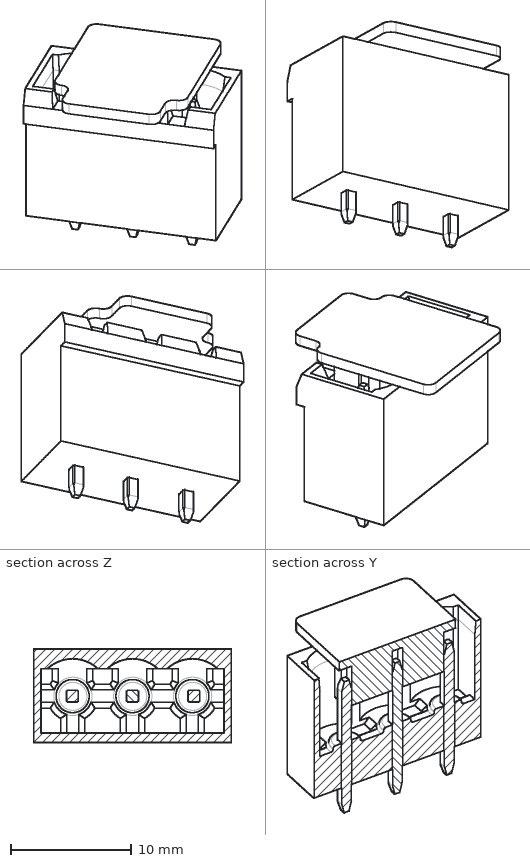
import cadquery as cq
import math

POLE_PITCH = 4.97
POLES = [-POLE_PITCH, 0, POLE_PITCH]

HOUSING_WIDTH = 16.4
HOUSING_HEIGHT = 12.04
BACK_Y = 3.92
FRONT_Y = -3.85
LIP_FRONT_Y = -4.61
LIP_HEIGHT = 3.05
LIP_CHAMFER_DEPTH = 0.51
LIP_CHAMFER_HEIGHT = 1.33

CAVITY_WIDTH = 15.19
CAVITY_BACK_Y = 2.26
CAVITY_FRONT_Y = -3.05
MOUTH_DEPTH = LIP_CHAMFER_HEIGHT
MOUTH_SIDE_FLARE = 0.1
MOUTH_BACK_FLARE = 0.18
MOUTH_FRONT_FLARE = 0.5
SCALLOP_RADIUS = 3.08
SCALLOP_FLARE = 0.21
SHELF_Z = 4.1
POCKET_DEPTH = 0.5
FLOOR_Z = SHELF_Z - POCKET_DEPTH

NOTCH_TOP_WIDTH = 1.8
NOTCH_FLOOR_WIDTH = 1.41

RIB_HALF_WIDTH = 0.51
BACK_RIB_HALF_WIDTH = 1.18
RIB_FLANK = POCKET_DEPTH
CONE_TOP_RADIUS = 1.6
BOSS_RADIUS = 1.38
BOSS_FILLET = 0.21
BOSS_HEIGHT = 0.5

LEFT_PIN_X = -4.99
RIGHT_PIN_X = 5.1
PIN_POSITIONS = [LEFT_PIN_X, 0, RIGHT_PIN_X]
PIN_SIZE = 1.0
PIN_CORNER_CHAMFER = 0.11
PIN_TOP_Z = 10.77
PIN_BOTTOM_Z = -2.6
PIN_TAPER_LENGTH = 0.98
PIN_TIP_SIZE = 0.51

PLATE_THICKNESS = 0.93
PLATE_WIDTH = 11.43
PLATE_BACK_Y = 7.0
PLATE_SHOULDER_Y = -4.46
TAB_FRONT_Y = -7.5
PLATE_CORNER_RADIUS = 0.75
TAB_WIDTH = PLATE_WIDTH - 4 * PLATE_CORNER_RADIUS
GRIP_WIDTH = 10.04
GRIP_BACK_Y = 1.54
GRIP_FRONT_Y = -2.87
GRIP_BOTTOM_Z = 8.04


def box(x_min, x_max, y_min, y_max, z_min, z_max):
    """Axis-aligned block between the given limits."""
    size = (x_max - x_min, y_max - y_min, z_max - z_min)
    return cq.Workplane("XY").box(*size, centered=False).translate((x_min, y_min, z_min))


def cone(x, bottom_radius, top_radius, bottom_z, height):
    """Upright cone frustum centred on a pole."""
    return cq.Workplane(cq.Solid.makeCone(bottom_radius, top_radius, height, cq.Vector(x, 0, bottom_z)))


def housing_block():
    """Outer block with the chamfered lip along its front upper edge."""
    lip_bottom_z = HOUSING_HEIGHT - LIP_HEIGHT
    profile = [
        (BACK_Y, 0),
        (FRONT_Y, 0),
        (FRONT_Y, lip_bottom_z),
        (LIP_FRONT_Y, lip_bottom_z),
        (LIP_FRONT_Y, HOUSING_HEIGHT - LIP_CHAMFER_HEIGHT),
        (LIP_FRONT_Y + LIP_CHAMFER_DEPTH, HOUSING_HEIGHT),
        (BACK_Y, HOUSING_HEIGHT),
    ]
    return cq.Workplane("YZ").polyline(profile).close().extrude(HOUSING_WIDTH / 2, both=True)


def cavity_mouth():
    """Rectangular opening that flares towards the top of the housing."""
    half = CAVITY_WIDTH / 2
    top_half = half + MOUTH_SIDE_FLARE
    bottom = [(-half, CAVITY_FRONT_Y), (half, CAVITY_FRONT_Y), (half, CAVITY_BACK_Y), (-half, CAVITY_BACK_Y)]
    top_front_y = CAVITY_FRONT_Y - MOUTH_FRONT_FLARE
    top_back_y = CAVITY_BACK_Y + MOUTH_BACK_FLARE
    top = [(-top_half, top_front_y), (top_half, top_front_y), (top_half, top_back_y), (-top_half, top_back_y)]
    return (
        cq.Workplane("XY", origin=(0, 0, HOUSING_HEIGHT - MOUTH_DEPTH))
        .polyline(bottom).close()
        .workplane(offset=MOUTH_DEPTH)
        .polyline(top).close()
        .loft(ruled=True, combine=True)
    )


def back_scallops():
    """Round recesses in the back wall, one per pole, flared at the mouth."""
    mouth_bottom_z = HOUSING_HEIGHT - MOUTH_DEPTH
    half = HOUSING_WIDTH / 2
    behind_cavity = box(-half, half, CAVITY_BACK_Y, BACK_Y, SHELF_Z, HOUSING_HEIGHT)
    scallops = cq.Workplane("XY")
    for x in POLES:
        flare = cone(x, SCALLOP_RADIUS, SCALLOP_RADIUS + SCALLOP_FLARE, mouth_bottom_z, MOUTH_DEPTH)
        wall = (
            cq.Workplane("XY", origin=(x, 0, SHELF_Z))
            .circle(SCALLOP_RADIUS)
            .extrude(mouth_bottom_z - SHELF_Z)
        )
        scallops = scallops.add(flare.union(wall).intersect(behind_cavity))
    return scallops.combine()


def lip_notch(x):
    """Tapered notch through the front wall at a pole."""
    top = NOTCH_TOP_WIDTH / 2
    floor = NOTCH_FLOOR_WIDTH / 2
    floor_z = HOUSING_HEIGHT - LIP_CHAMFER_HEIGHT
    profile = [
        (x - floor, floor_z),
        (x + floor, floor_z),
        (x + top, HOUSING_HEIGHT),
        (x - top, HOUSING_HEIGHT),
    ]
    return (
        cq.Workplane("XZ", origin=(0, CAVITY_FRONT_Y, 0))
        .polyline(profile).close()
        .extrude(CAVITY_FRONT_Y - LIP_FRONT_Y)
    )


def rib_profile(plane, centre, half_width):
    """Trapezium from the pocket floor up to the shelf level."""
    base = half_width + RIB_FLANK
    points = [
        (centre - base, FLOOR_Z),
        (centre + base, FLOOR_Z),
        (centre + half_width, SHELF_Z),
        (centre - half_width, SHELF_Z),
    ]
    return cq.Workplane(plane).polyline(points).close()


def floor_ribs():
    """One rib along the pin row, crossed at each pole by a front and a back rib."""
    ribs = rib_profile("YZ", 0, RIB_HALF_WIDTH).extrude(CAVITY_WIDTH / 2, both=True)
    for x in POLES:
        ribs = ribs.union(rib_profile("XZ", x, RIB_HALF_WIDTH).extrude(-CAVITY_FRONT_Y))
        ribs = ribs.union(rib_profile("XZ", x, BACK_RIB_HALF_WIDTH).extrude(-CAVITY_BACK_Y))
        ribs = ribs.union(cone(x, CONE_TOP_RADIUS + RIB_FLANK, CONE_TOP_RADIUS, FLOOR_Z, POCKET_DEPTH))
    return ribs


def boss(x):
    """Round boss at the foot of a pin, with a fillet at its base and its top edge."""
    r = BOSS_FILLET
    arc = r * math.sqrt(0.5)
    base_r = BOSS_RADIUS + r
    top_z = SHELF_Z + BOSS_HEIGHT
    return (
        cq.Workplane("XZ")
        .moveTo(0, SHELF_Z)
        .lineTo(base_r, SHELF_Z)
        .threePointArc((base_r - arc, SHELF_Z + r - arc), (BOSS_RADIUS, SHELF_Z + r))
        .lineTo(BOSS_RADIUS, top_z - r)
        .threePointArc((BOSS_RADIUS - r + arc, top_z - r + arc), (BOSS_RADIUS - r, top_z))
        .lineTo(0, top_z)
        .close()
        .revolve(360, (0, 0, 0), (0, 1, 0))
        .translate((x, 0, 0))
    )


def make_housing(pins):
    """Open-topped housing with a hole in its floor that fits each pin."""
    half = CAVITY_WIDTH / 2
    body = housing_block()
    body = body.cut(box(-half, half, CAVITY_FRONT_Y, CAVITY_BACK_Y, FLOOR_Z, HOUSING_HEIGHT))
    body = body.cut(cavity_mouth()).cut(back_scallops())
    body = body.union(floor_ribs())
    for x in POLES:
        body = body.cut(lip_notch(x)).union(boss(x))
    for pin in pins:
        body = body.cut(pin)
    return body


def pin_taper(base_z, direction):
    """Square frustum at one end of a pin; direction is +1 upwards or -1 downwards."""
    return (
        cq.Workplane("XY", origin=(0, 0, base_z))
        .rect(PIN_SIZE, PIN_SIZE)
        .workplane(offset=direction * PIN_TAPER_LENGTH)
        .rect(PIN_TIP_SIZE, PIN_TIP_SIZE)
        .loft(ruled=True, combine=True)
    )


def make_pin(x):
    """Square pin with chamfered corners, tapered at both ends."""
    half = PIN_SIZE / 2
    lower_z = PIN_BOTTOM_Z + PIN_TAPER_LENGTH
    upper_z = PIN_TOP_Z - PIN_TAPER_LENGTH
    bar = box(-half, half, -half, half, PIN_BOTTOM_Z, PIN_TOP_Z).edges("|Z").chamfer(PIN_CORNER_CHAMFER)
    envelope = box(-half, half, -half, half, lower_z, upper_z)
    envelope = envelope.union(pin_taper(lower_z, -1)).union(pin_taper(upper_z, 1))
    return bar.intersect(envelope).translate((x, 0, 0))


def cap_plate():
    """Flat pick-up plate with a narrower tab at the front."""
    r = PLATE_CORNER_RADIUS
    half = PLATE_WIDTH / 2
    tab = TAB_WIDTH / 2
    return (
        cq.Workplane("XY", origin=(0, 0, HOUSING_HEIGHT))
        .moveTo(0, PLATE_BACK_Y)
        .lineTo(half - r, PLATE_BACK_Y)
        .radiusArc((half, PLATE_BACK_Y - r), r)
        .lineTo(half, PLATE_SHOULDER_Y + r)
        .radiusArc((half - r, PLATE_SHOULDER_Y), r)
        .radiusArc((tab, PLATE_SHOULDER_Y - r), -r)
        .lineTo(tab, TAB_FRONT_Y + r)
        .radiusArc((tab - r, TAB_FRONT_Y), r)
        .lineTo(0, TAB_FRONT_Y)
        .mirrorY()
        .extrude(PLATE_THICKNESS)
    )


def make_cap():
    """Plate with a grip block below it, slotted to slide over the pins."""
    grip_half = GRIP_WIDTH / 2
    grip = box(-grip_half, grip_half, GRIP_FRONT_Y, GRIP_BACK_Y, GRIP_BOTTOM_Z, HOUSING_HEIGHT)
    pin_half = PIN_SIZE / 2
    for x in PIN_POSITIONS:
        grip = grip.cut(box(x - pin_half, x + pin_half, -pin_half, pin_half, GRIP_BOTTOM_Z, HOUSING_HEIGHT))
    return cap_plate().union(grip)


pins = [make_pin(x) for x in PIN_POSITIONS]
housing = make_housing(pins)
cap = make_cap()
result = cq.Compound.makeCompound([housing.val(), cap.val(), *[pin.val() for pin in pins]])